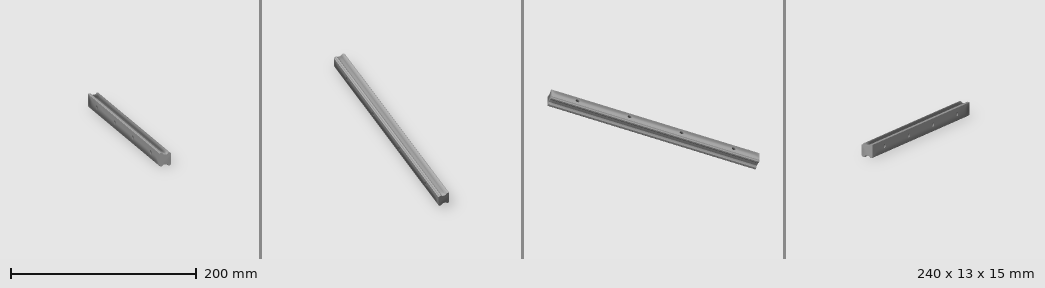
import cadquery as cq

length = 240.0
depth = 13.0
height = 15.0

base_chamfer = 0.5
head_raceway = 1.5

groove_depth = 2.0
groove_base_lip_y = -3.8
groove_base_floor_y = -2.0
groove_head_floor_y = 1.5
groove_head_lip_y = groove_head_floor_y + groove_depth

raceway_sag = 0.2

hole_diameter = 4.5
hole_count = 4
hole_pitch = length / hole_count

half_depth = depth / 2
half_height = height / 2
floor_z = half_height - groove_depth


def make_half_rail():
    """Extrude the half of the section above Z = 0 along X."""
    section = (
        cq.Workplane("YZ")
        .moveTo(-half_depth, 0)
        .lineTo(-half_depth, half_height - base_chamfer)
        .lineTo(-half_depth + base_chamfer, half_height)
        .lineTo(groove_base_lip_y, half_height)
        .lineTo(groove_base_floor_y, floor_z)
        .lineTo(groove_head_floor_y, floor_z)
        .sagittaArc((groove_head_lip_y, half_height), -raceway_sag)
        .lineTo(half_depth - head_raceway, half_height)
        .sagittaArc((half_depth, half_height - head_raceway), -raceway_sag)
        .lineTo(half_depth, 0)
        .close()
    )
    return section.extrude(length / 2, both=True)


def make_rail():
    """Join the upper half to its mirror image below Z = 0."""
    upper_half = make_half_rail()
    return upper_half.union(upper_half.mirror("XY")).clean()


def make_mounting_holes():
    """Evenly pitched cylinders along X, spanning the full depth."""
    return (
        cq.Workplane("XZ")
        .rarray(hole_pitch, 2.5, hole_count, 1)
        .circle(hole_diameter / 2)
        .extrude(half_depth, both=True)
    )


result = make_rail().cut(make_mounting_holes())